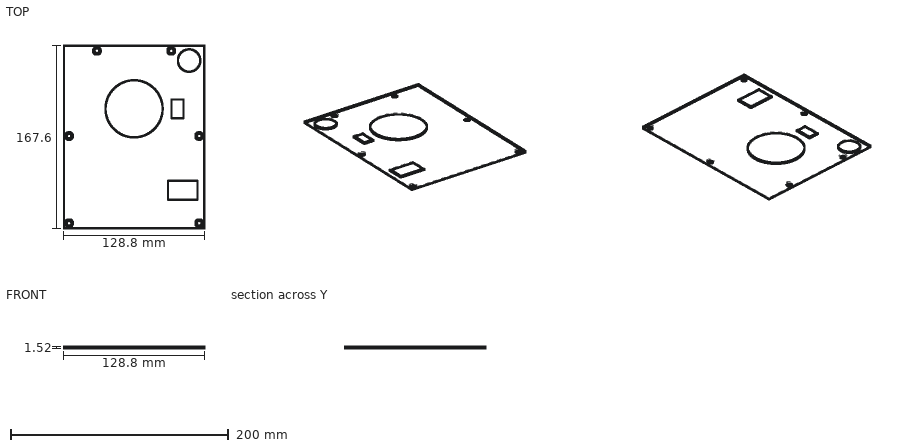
import cadquery as cq
import math

PLATE_WIDTH = 128.85
PLATE_LENGTH = 167.59
PLATE_THICKNESS = 1.52

MAIN_OPENING_DIAMETER = 52.3
MAIN_OPENING_CENTER = (0.0, 25.9)
CORNER_OPENING_DIAMETER = 20.4
CORNER_OPENING_CENTER = (50.5, 70.2)

SMALL_WINDOW_SIZE = (10.7, 17.1)
SMALL_WINDOW_CENTER = (39.8, 25.8)
LARGE_WINDOW_SIZE = (26.7, 17.4)
LARGE_WINDOW_CENTER = (44.7, -48.9)

COUNTERSINK_DIAMETER = 7.1
COUNTERSINK_ANGLE = 82.0
SCREW_EDGE_INSET = 4.7
TOP_SCREW_X = 34.1
MIDDLE_SCREW_Y = 0.9

COUNTERSINK_SLOPE = math.tan(math.radians(COUNTERSINK_ANGLE / 2))
SCREW_HOLE_DIAMETER = COUNTERSINK_DIAMETER - 2 * PLATE_THICKNESS * COUNTERSINK_SLOPE
SIDE_SCREW_X = PLATE_WIDTH / 2 - SCREW_EDGE_INSET
END_SCREW_Y = PLATE_LENGTH / 2 - SCREW_EDGE_INSET


def screw_positions():
    """Mirrored pairs: top edge, middle of the sides, bottom corners."""
    pairs = [
        (TOP_SCREW_X, END_SCREW_Y),
        (SIDE_SCREW_X, MIDDLE_SCREW_Y),
        (SIDE_SCREW_X, -END_SCREW_Y),
    ]
    return [(side * x, y) for x, y in pairs for side in (-1, 1)]


def make_plate():
    return cq.Workplane("XY").box(
        PLATE_WIDTH, PLATE_LENGTH, PLATE_THICKNESS, centered=(True, True, False)
    )


def round_opening(diameter, center):
    return cq.Workplane("XY").center(*center).circle(diameter / 2).extrude(PLATE_THICKNESS)


def rectangular_window(size, center):
    return cq.Workplane("XY").center(*center).rect(*size).extrude(PLATE_THICKNESS)


def screw_holes():
    """Conical holes, narrow at the bottom face and wide at the top face."""
    cone = cq.Solid.makeCone(SCREW_HOLE_DIAMETER / 2, COUNTERSINK_DIAMETER / 2, PLATE_THICKNESS)
    return cq.Workplane("XY").pushPoints(screw_positions()).eachpoint(cone, combine=False)



plate = make_plate()
plate = plate.cut(round_opening(MAIN_OPENING_DIAMETER, MAIN_OPENING_CENTER))
plate = plate.cut(round_opening(CORNER_OPENING_DIAMETER, CORNER_OPENING_CENTER))
plate = plate.cut(rectangular_window(SMALL_WINDOW_SIZE, SMALL_WINDOW_CENTER))
plate = plate.cut(rectangular_window(LARGE_WINDOW_SIZE, LARGE_WINDOW_CENTER))
result = plate.cut(screw_holes())